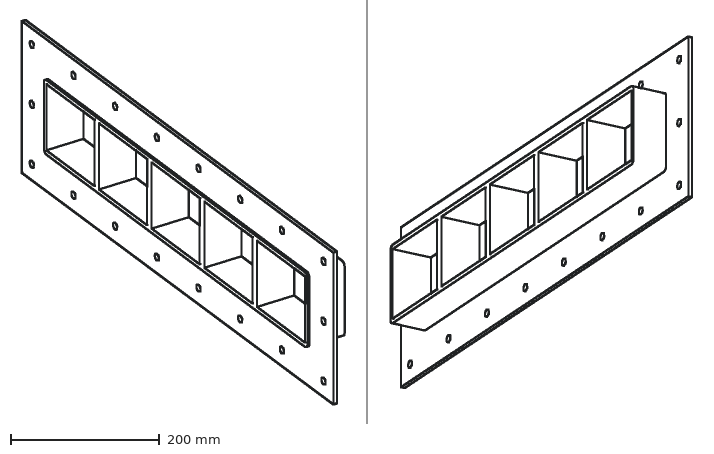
import cadquery as cq

plate_length = 774.5
plate_height = 233.0
plate_thickness = 6.0

frame_length = 655.0
frame_height = 115.0
frame_depth = 60.0
frame_corner_radius = 7.0
front_lip = 3.0

window_count = 5
window_length = 119.0
window_height = 101.5
window_pitch = 131.0

hole_diameter = 10.0
hole_edge_distance = 25.0
holes_per_row = 8
hole_x = plate_length / 2 - hole_edge_distance
hole_z = plate_height / 2 - hole_edge_distance
hole_pitch = 2 * hole_x / (holes_per_row - 1)


def block(length, depth, height, front_y):
    """Box centred in X and Z, reaching from front_y toward +Y."""
    return cq.Workplane("XY").box(length, depth, height).translate((0, front_y + depth / 2, 0))


def mounting_holes():
    """Holes in rows along the long edges, plus one midway up each short edge."""
    points = [(-hole_x, 0), (hole_x, 0)]
    for i in range(holes_per_row):
        x = -hole_x + i * hole_pitch
        points += [(x, -hole_z), (x, hole_z)]
    return (
        cq.Workplane("XZ")
        .pushPoints(points)
        .circle(hole_diameter / 2)
        .extrude(plate_thickness, both=True)
    )


def windows():
    """Openings that run through the full depth of the frame."""
    return (
        cq.Workplane("XZ")
        .rarray(window_pitch, 8, window_count, 1)
        .rect(window_length, window_height)
        .extrude(frame_depth, both=True)
    )


plate = block(plate_length, plate_thickness, plate_height, 0).cut(mounting_holes())
frame = block(frame_length, frame_depth, frame_height, -front_lip)
frame = frame.edges("|Y").fillet(frame_corner_radius)

result = plate.union(frame).cut(windows())